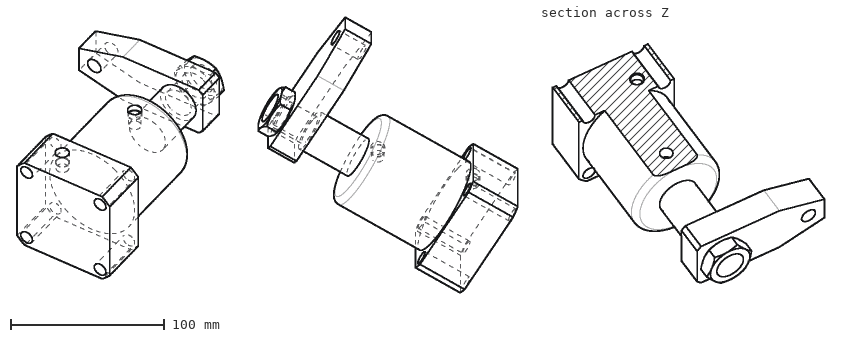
import cadquery as cq
import math


TOTAL_LENGTH = 167.0
FLANGE_LENGTH = 34.0
BARREL_LENGTH = 66.0
ARM_THICKNESS = 20.0
NUT_THICKNESS = 10.0

REAR_Y = -TOTAL_LENGTH / 2
FLANGE_FRONT_Y = REAR_Y + FLANGE_LENGTH
BARREL_FRONT_Y = FLANGE_FRONT_Y + BARREL_LENGTH
NUT_END_Y = REAR_Y + TOTAL_LENGTH
ARM_FRONT_Y = NUT_END_Y - NUT_THICKNESS
ARM_REAR_Y = ARM_FRONT_Y - ARM_THICKNESS

FLANGE_SIDE = 72.0
FLANGE_CORNER_RADIUS = 47.0
BARREL_DIAMETER = 66.0
BARREL_FILLET = 4.0
MOUNT_HOLE_DIAMETER = 9.0
MOUNT_HOLE_PITCH = 57.0

PORT_MOUTH_DIAMETER = 9.2
PORT_BORE_DIAMETER = 8.4
PORT_DEPTH = 13.4
BARREL_PORT_SETBACK = 15.0
BARREL_PORT_MOUTH_DEPTH = 4.5
FLANGE_PORT_X = -15.0
FLANGE_PORT_FROM_REAR = 21.7
FLANGE_PORT_MOUTH_DEPTH = 8.4

ROD_DIAMETER = 27.9
STUD_DIAMETER = 20.0

ARM_TIP_X = -77.0
ARM_HEEL_X = 19.0
ARM_WIDTH = 37.5
ARM_TIP_WIDTH = 19.0
ARM_TAPER_LENGTH = 34.0
ARM_HEEL_CHAMFER = 3.0
ARM_HOLE_DIAMETER = 10.4
ARM_HOLE_FROM_TIP = 12.0

NUT_CORNER_DIAMETER = 34.4
NUT_TURN = 9.0
NUT_FACE_DIAMETER = 29.7
NUT_CHAMFER_ANGLE = 30.0


def plane_at(y):
    """XZ plane at the given Y whose normal points toward +Y; local y is -Z."""
    return cq.Workplane(cq.Plane(origin=(0, y, 0), xDir=(1, 0, 0), normal=(0, 1, 0)))


def cylinder(diameter, start_y, end_y):
    return plane_at(start_y).circle(diameter / 2).extrude(end_y - start_y)


def port(x, y, surface_z, mouth_depth):
    """Cutting body of a port that opens upward at surface_z."""
    mouth = (
        cq.Workplane("XY", origin=(x, y, surface_z))
        .circle(PORT_MOUTH_DIAMETER / 2)
        .extrude(-mouth_depth)
    )
    bore = (
        cq.Workplane("XY", origin=(x, y, surface_z))
        .circle(PORT_BORE_DIAMETER / 2)
        .extrude(-PORT_DEPTH)
    )
    return mouth.union(bore)


def make_housing():
    corner_turning = cylinder(2 * FLANGE_CORNER_RADIUS, REAR_Y, FLANGE_FRONT_Y)
    flange = plane_at(REAR_Y).rect(FLANGE_SIDE, FLANGE_SIDE).extrude(FLANGE_LENGTH)
    flange = flange.intersect(corner_turning)
    mount_holes = (
        plane_at(REAR_Y)
        .rect(MOUNT_HOLE_PITCH, MOUNT_HOLE_PITCH, forConstruction=True)
        .vertices()
        .circle(MOUNT_HOLE_DIAMETER / 2)
        .extrude(FLANGE_LENGTH)
    )
    barrel = cylinder(BARREL_DIAMETER, FLANGE_FRONT_Y, BARREL_FRONT_Y)
    barrel = barrel.faces(">Y").edges().fillet(BARREL_FILLET)
    barrel_port_y = BARREL_FRONT_Y - BARREL_PORT_SETBACK
    barrel_port = port(0, barrel_port_y, BARREL_DIAMETER / 2, BARREL_PORT_MOUTH_DEPTH)
    flange_port_y = REAR_Y + FLANGE_PORT_FROM_REAR
    flange_port = port(FLANGE_PORT_X, flange_port_y, FLANGE_SIDE / 2, FLANGE_PORT_MOUTH_DEPTH)
    return flange.cut(mount_holes).union(barrel).cut(barrel_port).cut(flange_port)


def make_rod():
    shank = cylinder(ROD_DIAMETER, BARREL_FRONT_Y, ARM_REAR_Y)
    stud = cylinder(STUD_DIAMETER, ARM_REAR_Y, NUT_END_Y)
    return shank.union(stud)


def make_arm():
    taper_end_x = ARM_TIP_X + ARM_TAPER_LENGTH
    upper_edge = [
        (ARM_TIP_X, ARM_TIP_WIDTH / 2),
        (taper_end_x, ARM_WIDTH / 2),
        (ARM_HEEL_X - ARM_HEEL_CHAMFER, ARM_WIDTH / 2),
        (ARM_HEEL_X, ARM_WIDTH / 2 - ARM_HEEL_CHAMFER),
    ]
    lower_edge = [(x, -z) for x, z in reversed(upper_edge)]
    blank = plane_at(ARM_REAR_Y).polyline(upper_edge + lower_edge).close().extrude(ARM_THICKNESS)
    tip_hole = (
        plane_at(ARM_REAR_Y)
        .center(ARM_TIP_X + ARM_HOLE_FROM_TIP, 0)
        .circle(ARM_HOLE_DIAMETER / 2)
        .extrude(ARM_THICKNESS)
    )
    stud_hole = cylinder(STUD_DIAMETER, ARM_REAR_Y, ARM_FRONT_Y)
    return blank.cut(tip_hole).cut(stud_hole)


def make_nut():
    corner_radius = NUT_CORNER_DIAMETER / 2
    face_radius = NUT_FACE_DIAMETER / 2
    chamfer_height = (corner_radius - face_radius) * math.tan(math.radians(NUT_CHAMFER_ANGLE))
    hexagon = (
        plane_at(ARM_FRONT_Y)
        .polygon(6, NUT_CORNER_DIAMETER)
        .extrude(NUT_THICKNESS)
        .rotate((0, 0, 0), (0, 1, 0), NUT_TURN)
    )
    envelope = (
        cq.Workplane("XY")
        .moveTo(0, ARM_FRONT_Y)
        .lineTo(face_radius, ARM_FRONT_Y)
        .lineTo(corner_radius, ARM_FRONT_Y + chamfer_height)
        .lineTo(corner_radius, NUT_END_Y - chamfer_height)
        .lineTo(face_radius, NUT_END_Y)
        .lineTo(0, NUT_END_Y)
        .close()
        .revolve(360, (0, 0, 0), (0, 1, 0))
    )
    return hexagon.intersect(envelope).cut(cylinder(STUD_DIAMETER, ARM_FRONT_Y, NUT_END_Y))


housing = make_housing()
rod = make_rod()
arm = make_arm()
nut = make_nut()

result = cq.Compound.makeCompound([housing.val(), rod.val(), arm.val(), nut.val()])